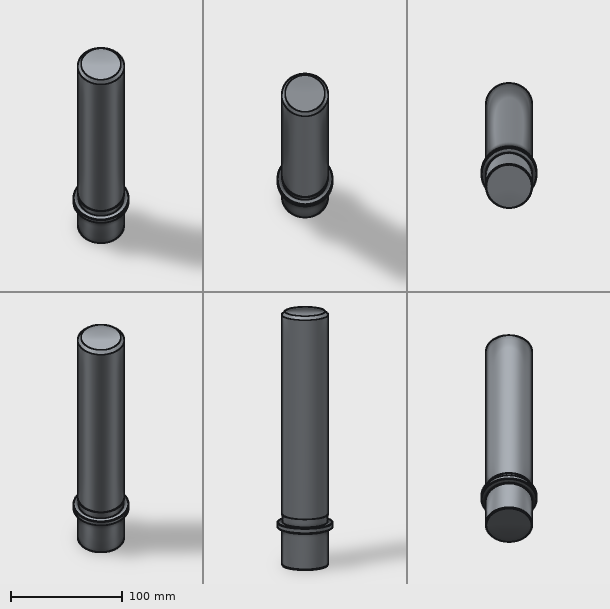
import cadquery as cq

total_length = 235.0
shaft_radius = 42.0 / 2
collar_radius = 50.0 / 2
neck_radius = 40.7 / 2
collar_bottom = 35.0
collar_thickness = 5.0
collar_edge_chamfer = 0.59
upper_neck_length = 7.3
lower_neck_length = 1.5
tip_chamfer = 3.0
base_chamfer_height = 1.2
base_chamfer_width = 0.7

collar_top = collar_bottom + collar_thickness


def cylinder(radius, bottom, top):
    """Solid cylinder on the Z axis between two heights."""
    return cq.Workplane("XY").workplane(offset=bottom).circle(radius).extrude(top - bottom)


base_end_radius = shaft_radius - base_chamfer_width
seat_top = collar_bottom - lower_neck_length
seat = (
    cq.Workplane("XZ")
    .polyline([
        (0, 0),
        (base_end_radius, 0),
        (shaft_radius, base_chamfer_height),
        (shaft_radius, seat_top),
        (0, seat_top),
    ])
    .close()
    .revolve(360, (0, 0), (0, 1))
)

shaft_bottom = collar_top + upper_neck_length
neck = cylinder(neck_radius, seat_top, shaft_bottom)

collar = cylinder(collar_radius, collar_bottom, collar_top).edges("%CIRCLE").chamfer(collar_edge_chamfer)

shaft = cylinder(shaft_radius, shaft_bottom, total_length).faces(">Z").chamfer(tip_chamfer)

result = seat.union(neck).union(collar).union(shaft)